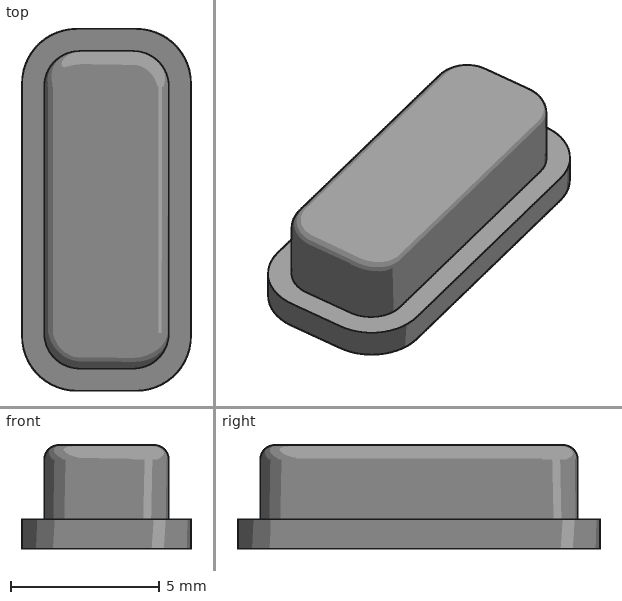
import cadquery as cq

flange_width = 5.7
flange_length = 12.2
flange_thickness = 1.0
flange_corner_radius = 1.85

ledge_width = 0.75
key_width = flange_width - 2 * ledge_width
key_length = flange_length - 2 * ledge_width
key_corner_radius = 1.2
top_edge_radius = 0.5

total_height = 3.5
key_height = total_height - flange_thickness


def rounded_block(width, length, height, corner_radius, bottom_z):
    """Block centred on the Z axis with rounded vertical corners."""
    return (
        cq.Workplane("XY")
        .workplane(offset=bottom_z)
        .rect(width, length)
        .extrude(height)
        .edges("|Z")
        .fillet(corner_radius)
    )


def make_flange():
    return rounded_block(flange_width, flange_length, flange_thickness, flange_corner_radius, 0)


def make_key():
    """Key body with its top rim rounded over."""
    body = rounded_block(key_width, key_length, key_height, key_corner_radius, flange_thickness)
    return body.faces(">Z").edges().fillet(top_edge_radius)


result = make_flange().union(make_key())